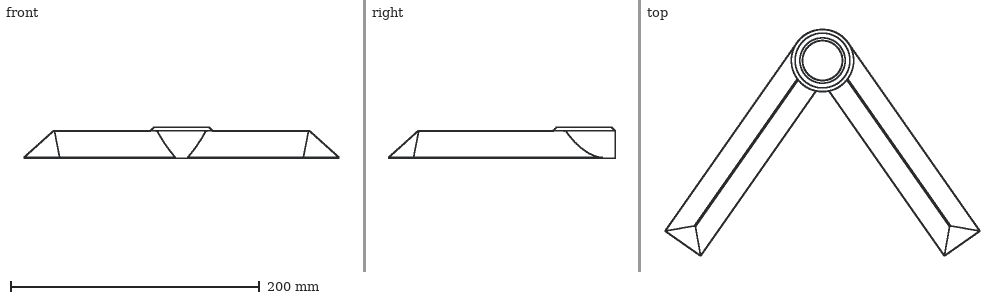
import cadquery as cq
import math

hub_radius = 25.0
hub_height = 25.0
hub_chamfer = 3.0
bore_top_radius = 18.2
bore_bottom_radius = 16.0

span = 253.2
arm_angle = 35.0
arm_width = 35.0
arm_height = hub_height - hub_chamfer
lip_height = 0.8
ridge_width = 1.0

angle = math.radians(arm_angle)
arm_length = (span / 2 - hub_radius * math.cos(angle)) / math.sin(angle)
arm_offset = hub_radius - arm_width / 2
half_width = arm_width / 2
half_ridge = ridge_width / 2
end_inset = half_width - half_ridge


def make_hub():
    ring = cq.Workplane("XY").circle(hub_radius).extrude(hub_height)
    return ring.faces(">Z").edges().chamfer(hub_chamfer)


def make_bore():
    profile = [(0, 0), (bore_bottom_radius, 0), (bore_top_radius, hub_height), (0, hub_height)]
    return cq.Workplane("XZ").polyline(profile).close().revolve(360, (0, 0), (0, 1))


def make_arm():
    """Arm on the +X side, built along -Y and then swung outward."""
    section = [
        (-half_width, 0),
        (half_width, 0),
        (half_width, lip_height),
        (half_ridge, arm_height),
        (-half_ridge, arm_height),
        (-half_width, lip_height),
    ]
    bar = cq.Workplane("XZ").polyline(section).close().extrude(arm_length)

    end_wedge = (
        cq.Workplane("YZ")
        .moveTo(-arm_length, lip_height)
        .lineTo(-arm_length + end_inset, arm_height)
        .lineTo(-arm_length, arm_height)
        .close()
        .extrude(half_width, both=True)
    )
    arm = bar.cut(end_wedge).translate((arm_offset, 0, 0))
    return arm.rotate((0, 0, 0), (0, 0, 1), arm_angle)


right_arm = make_arm()
left_arm = right_arm.mirror("YZ")
result = make_hub().union(right_arm).union(left_arm).cut(make_bore())